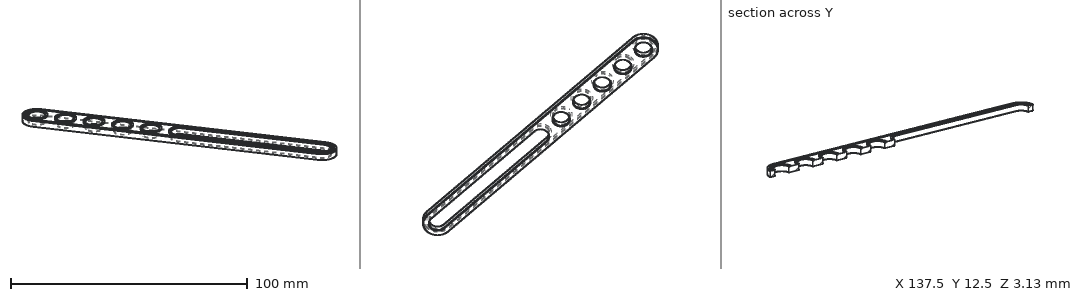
import cadquery as cq

pitch = 12.5
thickness = pitch / 4
hole_diameter = 7.0
hole_count = 5
slot_pitches = 5
rim_width = 1.1
recess_depth = 0.2
bevel = 0.3

end_spacing = (hole_count + slot_pitches) * pitch
first_hole_x = -end_spacing / 2
hole_positions = [(first_hole_x + i * pitch, 0) for i in range(hole_count)]
slot_spacing = slot_pitches * pitch
slot_centre_x = (end_spacing - slot_spacing) / 2
floor_z = thickness - recess_depth


def round_ended_bar(centre_x, end_centre_spacing, width, base_z, height):
    """Upright solid with a round-ended outline lying along X."""
    return (
        cq.Workplane("XY", origin=(centre_x, 0, base_z))
        .slot2D(end_centre_spacing + width, width)
        .extrude(height)
    )


def openings(diameter, base_z, height):
    """Cylinders at the hole positions together with a slot of the same width."""
    cylinders = (
        cq.Workplane("XY", origin=(0, 0, base_z))
        .pushPoints(hole_positions)
        .circle(diameter / 2)
        .extrude(height)
    )
    slot = round_ended_bar(slot_centre_x, slot_spacing, diameter, base_z, height)
    return cylinders.union(slot)


def drilled_bar():
    """Bar with its holes and slot, every edge of its top and bottom faces chamfered."""
    bar = round_ended_bar(0, end_spacing, pitch, 0, thickness)
    drilled = bar.cut(openings(hole_diameter, 0, thickness))
    return drilled.faces("<Z or >Z").edges().chamfer(bevel)


def recess():
    """Space above the floor, inside the outer rim and around the hole and slot rims."""
    pocket = round_ended_bar(0, end_spacing, pitch - 2 * rim_width, floor_z, recess_depth)
    return pocket.cut(openings(hole_diameter + 2 * rim_width, floor_z, recess_depth))


result = drilled_bar().cut(recess())